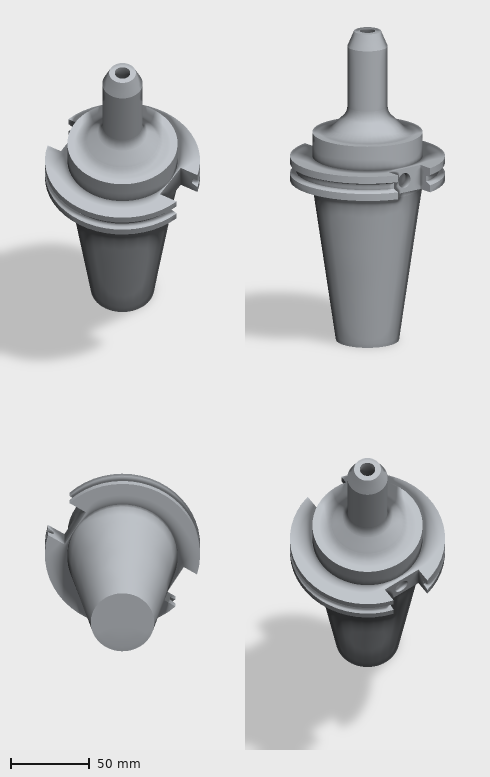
import cadquery as cq
import math

TOTAL_LENGTH = 203.2
GAUGE_HEIGHT = 101.5
FLANGE_BOTTOM = 105.0
FLANGE_THICKNESS = 15.8
BOSS_TOP = 136.8
TIP_LENGTH = 10.0

SMALL_END_RADIUS = 20.1
GAUGE_RADIUS = 35.0
FLANGE_RADIUS = 49.2
NOSE_RADIUS = 12.8
TIP_RADIUS = 8.5

SHOULDER_ANGLE = math.radians(45)
SHOULDER_RADIUS = 29.9
UPPER_ARC_RADIUS = 9.1
LOWER_ARC_RADIUS = 9.8

GROOVE_DEPTH = 3.9
GROOVE_FLOOR_WIDTH = 3.7
GROOVE_MOUTH_WIDTH = 6.7

SLOT_WIDTH = 26.0
LEFT_SLOT_FLOOR = 37.5
RIGHT_SLOT_FLOOR = 35.2

TIP_HOLE_DIAMETER = 9.8
TIP_HOLE_DEPTH = 48.8
SIDE_HOLE_DIAMETER = 9.8
SIDE_HOLE_DEPTH = 4.9

FLANGE_TOP = FLANGE_BOTTOM + FLANGE_THICKNESS
FLANGE_MIDDLE = FLANGE_BOTTOM + FLANGE_THICKNESS / 2


def turned_body():
    """Taper, flange, boss, shoulder and nose revolved about Z."""
    floor_radius = FLANGE_RADIUS - GROOVE_DEPTH
    half_floor = GROOVE_FLOOR_WIDTH / 2
    half_mouth = GROOVE_MOUTH_WIDTH / 2

    along_span = math.sin(SHOULDER_ANGLE)
    across_span = 1 - math.cos(SHOULDER_ANGLE)
    along_middle = math.sin(SHOULDER_ANGLE / 2)
    across_middle = 1 - math.cos(SHOULDER_ANGLE / 2)

    cone_outer_radius = SHOULDER_RADIUS - along_span * LOWER_ARC_RADIUS
    cone_inner_radius = NOSE_RADIUS + across_span * UPPER_ARC_RADIUS
    cone_bottom = BOSS_TOP + across_span * LOWER_ARC_RADIUS
    cone_top = cone_bottom + (cone_outer_radius - cone_inner_radius) * math.tan(SHOULDER_ANGLE)
    nose_bottom = cone_top + along_span * UPPER_ARC_RADIUS
    lower_arc_middle = (
        SHOULDER_RADIUS - along_middle * LOWER_ARC_RADIUS,
        BOSS_TOP + across_middle * LOWER_ARC_RADIUS,
    )
    upper_arc_middle = (
        NOSE_RADIUS + across_middle * UPPER_ARC_RADIUS,
        nose_bottom - along_middle * UPPER_ARC_RADIUS,
    )

    profile = (
        cq.Workplane("XZ")
        .moveTo(0, 0)
        .lineTo(SMALL_END_RADIUS, 0)
        .lineTo(GAUGE_RADIUS, GAUGE_HEIGHT)
        .lineTo(GAUGE_RADIUS, FLANGE_BOTTOM)
        .lineTo(FLANGE_RADIUS, FLANGE_BOTTOM)
        .lineTo(FLANGE_RADIUS, FLANGE_MIDDLE - half_mouth)
        .lineTo(floor_radius, FLANGE_MIDDLE - half_floor)
        .lineTo(floor_radius, FLANGE_MIDDLE + half_floor)
        .lineTo(FLANGE_RADIUS, FLANGE_MIDDLE + half_mouth)
        .lineTo(FLANGE_RADIUS, FLANGE_TOP)
        .lineTo(GAUGE_RADIUS, FLANGE_TOP)
        .lineTo(GAUGE_RADIUS, BOSS_TOP)
        .lineTo(SHOULDER_RADIUS, BOSS_TOP)
        .threePointArc(lower_arc_middle, (cone_outer_radius, cone_bottom))
        .lineTo(cone_inner_radius, cone_top)
        .threePointArc(upper_arc_middle, (NOSE_RADIUS, nose_bottom))
        .lineTo(NOSE_RADIUS, TOTAL_LENGTH - TIP_LENGTH)
        .lineTo(TIP_RADIUS, TOTAL_LENGTH)
        .lineTo(0, TOTAL_LENGTH)
        .close()
    )
    return profile.revolve(360, (0, 0, 0), (0, 1, 0))


def drive_slot(side, floor):
    """Cutter for the slot on the +X (side = 1) or -X (side = -1) edge of the flange."""
    depth = FLANGE_RADIUS - floor
    center_x = side * (floor + depth / 2)
    return cq.Workplane("XY").box(depth, SLOT_WIDTH, FLANGE_THICKNESS).translate((center_x, 0, FLANGE_MIDDLE))


def tip_hole():
    """Cutter for the hole along the axis, open at the nose tip."""
    return (
        cq.Workplane("XY", origin=(0, 0, TOTAL_LENGTH))
        .circle(TIP_HOLE_DIAMETER / 2)
        .extrude(-TIP_HOLE_DEPTH)
    )


def side_hole():
    """Cutter for the radial hole in the left slot floor."""
    return (
        cq.Workplane("YZ", origin=(-LEFT_SLOT_FLOOR, 0, FLANGE_MIDDLE))
        .circle(SIDE_HOLE_DIAMETER / 2)
        .extrude(SIDE_HOLE_DEPTH)
    )


result = (
    turned_body()
    .cut(drive_slot(-1, LEFT_SLOT_FLOOR))
    .cut(drive_slot(1, RIGHT_SLOT_FLOOR))
    .cut(tip_hole())
    .cut(side_hole())
)